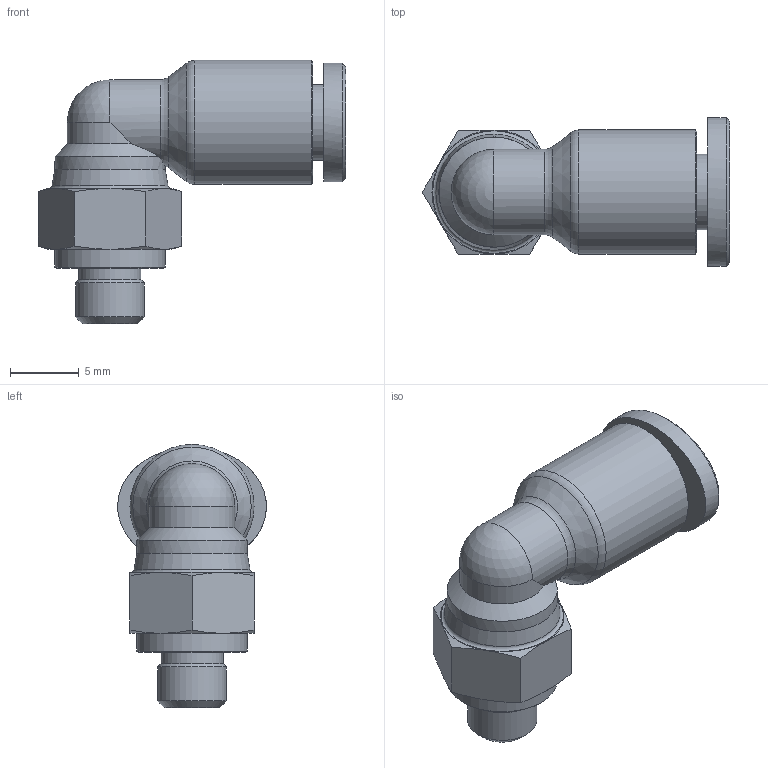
import cadquery as cq
import math


elbow_radius = 3.1
socket_radius = 4.5
flare_start = 3.98
flare_end = 5.83
flare_blend_radius = 1.0
socket_end = 14.7
socket_edge_chamfer = 0.1

collar_neck_radius = 2.75
collar_width = 10.8
collar_height = 8.6
collar_start = 15.5
collar_end = 17.1
collar_chamfer = 0.25

swivel_radius = 4.0
swivel_shoulder_top = -1.55
swivel_shoulder_bottom = swivel_shoulder_top - (swivel_radius - elbow_radius)
skirt_top = -3.4
skirt_radius = 4.2
skirt_fillet = 0.25

hex_across_flats = 9.0
hex_across_corners = hex_across_flats / math.cos(math.radians(30))
hex_top = -4.8
hex_bottom = -9.2
hex_chamfer_angle = 18.0
hex_chamfer_depth = (hex_across_corners - hex_across_flats) / 2
hex_chamfer_height = hex_chamfer_depth * math.tan(math.radians(hex_chamfer_angle))

seat_radius = 4.0
seat_bottom = -10.6
seat_chamfer = 0.1
thread_radius = 2.5
undercut_radius = 2.25
undercut_bottom = -11.4
thread_bottom = -14.6
thread_chamfer = 0.5


def make_elbow():
    """Two equal cylinders mitred together, with a sphere rounding the outer corner."""
    tube_side = cq.Workplane("YZ").circle(elbow_radius).extrude(flare_start)
    port_side = cq.Workplane("XY").circle(elbow_radius).extrude(swivel_shoulder_bottom)
    return cq.Workplane("XY").sphere(elbow_radius).union(tube_side).union(port_side)


def make_socket():
    """Tube socket revolved about X, blended into the elbow through a conical flare."""
    slope = math.atan2(socket_radius - elbow_radius, flare_end - flare_start)
    tangent_length = flare_blend_radius * math.tan(slope / 2)
    along_cone_x = tangent_length * math.cos(slope)
    along_cone_r = tangent_length * math.sin(slope)
    blend_start = flare_start - tangent_length
    blend_end = flare_end + tangent_length
    arc_x = flare_blend_radius * math.sin(slope / 2)
    arc_r = flare_blend_radius * (1 - math.cos(slope / 2))
    return (
        cq.Workplane("XZ")
        .moveTo(blend_start, 0)
        .lineTo(blend_start, elbow_radius)
        .threePointArc(
            (blend_start + arc_x, elbow_radius + arc_r),
            (flare_start + along_cone_x, elbow_radius + along_cone_r),
        )
        .lineTo(flare_end - along_cone_x, socket_radius - along_cone_r)
        .threePointArc(
            (blend_end - arc_x, socket_radius - arc_r),
            (blend_end, socket_radius),
        )
        .lineTo(socket_end - socket_edge_chamfer, socket_radius)
        .lineTo(socket_end, socket_radius - socket_edge_chamfer)
        .lineTo(socket_end, 0)
        .close()
        .revolve(360, (0, 0, 0), (1, 0, 0))
    )


def make_release_collar():
    """Elliptical push flange on a round neck."""
    neck = (
        cq.Workplane("YZ", origin=(socket_end, 0, 0))
        .circle(collar_neck_radius)
        .extrude(collar_start - socket_end)
    )
    flange = (
        cq.Workplane("YZ", origin=(collar_start, 0, 0))
        .ellipse(collar_width / 2, collar_height / 2)
        .extrude(collar_end - collar_start)
        .faces(">X")
        .edges()
        .chamfer(collar_chamfer)
    )
    return neck.union(flange)


def make_swivel_body():
    """Stepped body revolved about Z, with a tapered skirt filleted onto the hexagon."""
    fillet_start = hex_top + skirt_fillet
    fillet_middle = skirt_fillet * (1 - math.sqrt(0.5))
    return (
        cq.Workplane("XZ")
        .moveTo(0, swivel_shoulder_top)
        .lineTo(elbow_radius, swivel_shoulder_top)
        .lineTo(swivel_radius, swivel_shoulder_bottom)
        .lineTo(swivel_radius, skirt_top)
        .lineTo(skirt_radius, fillet_start)
        .threePointArc(
            (skirt_radius + fillet_middle, hex_top + fillet_middle),
            (skirt_radius + skirt_fillet, hex_top),
        )
        .lineTo(0, hex_top)
        .close()
        .revolve(360, (0, 0, 0), (0, 1, 0))
    )


def make_hexagon():
    """Hexagon with corners on X, its corners turned off conically at both ends."""
    prism = (
        cq.Workplane("XY", origin=(0, 0, hex_bottom))
        .polygon(6, hex_across_corners)
        .extrude(hex_top - hex_bottom)
    )
    turned_blank = (
        cq.Workplane("XY", origin=(0, 0, hex_bottom))
        .circle(hex_across_corners / 2)
        .extrude(hex_top - hex_bottom)
        .faces("<Z or >Z")
        .edges()
        .chamfer(hex_chamfer_height, hex_chamfer_depth)
    )
    return prism.intersect(turned_blank)


def make_threaded_end():
    """Seat ring, undercut and plain thread envelope revolved about Z."""
    return (
        cq.Workplane("XZ")
        .moveTo(0, hex_bottom)
        .lineTo(seat_radius, hex_bottom)
        .lineTo(seat_radius, seat_bottom + seat_chamfer)
        .lineTo(seat_radius - seat_chamfer, seat_bottom)
        .lineTo(undercut_radius, seat_bottom)
        .lineTo(undercut_radius, undercut_bottom)
        .lineTo(thread_radius, undercut_bottom - (thread_radius - undercut_radius))
        .lineTo(thread_radius, thread_bottom + thread_chamfer)
        .lineTo(thread_radius - thread_chamfer, thread_bottom)
        .lineTo(0, thread_bottom)
        .close()
        .revolve(360, (0, 0, 0), (0, 1, 0))
    )


result = (
    make_elbow()
    .union(make_socket())
    .union(make_release_collar())
    .union(make_swivel_body())
    .union(make_hexagon())
    .union(make_threaded_end())
)